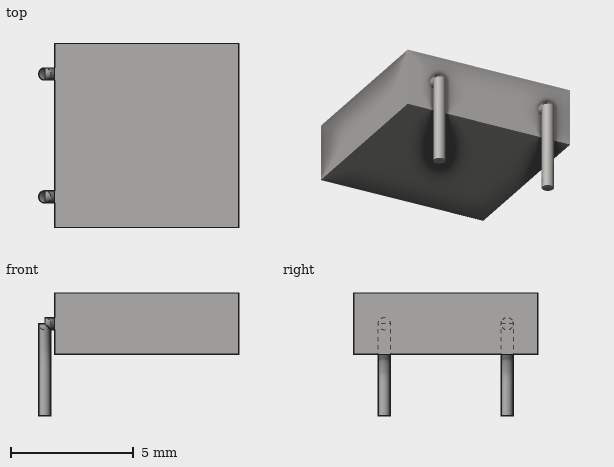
import cadquery as cq

housing_side = 7.5
housing_height = 2.5

lead_diameter = 0.5
lead_pitch = 5.0
lead_gap = 0.15
lead_drop = 2.5

lead_radius = lead_diameter / 2
housing_face_x = -housing_side / 2
leg_axis_x = housing_face_x - lead_gap - lead_radius
bend_z = housing_height / 2


def make_housing():
    return cq.Workplane("XY").box(
        housing_side, housing_side, housing_height, centered=(True, True, False)
    )


def make_lead(y):
    """Vertical leg and short horizontal arm, hollowed by a ball at the corner where their axes meet."""
    leg = (
        cq.Workplane("XY", origin=(leg_axis_x, y, -lead_drop))
        .circle(lead_radius)
        .extrude(lead_drop + bend_z)
    )
    arm = (
        cq.Workplane("YZ", origin=(leg_axis_x, y, bend_z))
        .circle(lead_radius)
        .extrude(housing_face_x - leg_axis_x)
    )
    corner_hollow = (
        cq.Workplane("XY", origin=(leg_axis_x, y, bend_z))
        .moveTo(0, -lead_radius)
        .threePointArc((-lead_radius, 0), (0, lead_radius))
        .close()
        .revolve(360, (0, 0, 0), (0, 1, 0))
    )
    return leg.union(arm).cut(corner_hollow)


housing = make_housing()
leads = [make_lead(side * lead_pitch / 2) for side in (-1, 1)]

result = cq.Compound.makeCompound([housing.val(), *[lead.solids().val() for lead in leads]])